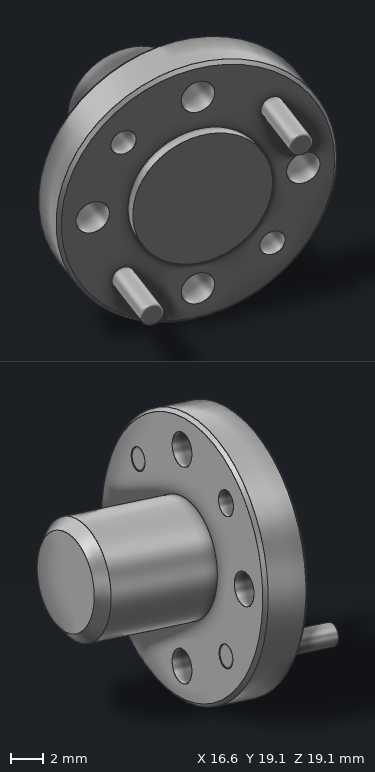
import cadquery as cq
import math

FLANGE_DIAMETER = 19.05
FLANGE_THICKNESS = 3.3
FLANGE_CHAMFER = 0.25

SHAFT_DIAMETER = 8.12
SHAFT_LENGTH = 8.65
SHAFT_CHAMFER = 0.76

PILOT_DIAMETER = 9.49
PILOT_HEIGHT = 0.75

PITCH_RADIUS = 7.15
MOUNTING_HOLE_DIAMETER = 2.27
MOUNTING_HOLE_ANGLES = (0, 90, 180, 270)
CLEARANCE_HOLE_DIAMETER = 1.71
CLEARANCE_HOLE_ANGLES = (135, 315)

PIN_DIAMETER = 1.58
PIN_PROTRUSION = 4.63
PIN_LENGTH = FLANGE_THICKNESS + PIN_PROTRUSION
PIN_END_FILLET = 0.15
PIN_ANGLES = (45, 225)


def pitch_point(angle):
    """Point (Y, Z) on the pitch circle, with the angle measured from +Y towards +Z."""
    return (
        PITCH_RADIUS * math.cos(math.radians(angle)),
        PITCH_RADIUS * math.sin(math.radians(angle)),
    )


def cylinder(diameter, start_x, length):
    """Cylinder on the X axis, running towards +X from start_x."""
    return cq.Workplane("YZ", origin=(start_x, 0, 0)).circle(diameter / 2).extrude(length)


def cut_flange_holes(body, diameter, angles):
    """Cut straight holes through the flange on the pitch circle."""
    holes = (
        cq.Workplane("YZ")
        .pushPoints([pitch_point(angle) for angle in angles])
        .circle(diameter / 2)
        .extrude(FLANGE_THICKNESS)
    )
    return body.cut(holes)


def make_hub():
    """Flange with a chamfered shaft on one side and a low pilot boss on the other."""
    flange = cylinder(FLANGE_DIAMETER, 0, FLANGE_THICKNESS).edges().chamfer(FLANGE_CHAMFER)
    shaft = cylinder(SHAFT_DIAMETER, -SHAFT_LENGTH, SHAFT_LENGTH).faces("<X").chamfer(SHAFT_CHAMFER)
    pilot = cylinder(PILOT_DIAMETER, FLANGE_THICKNESS, PILOT_HEIGHT)
    body = flange.union(shaft).union(pilot)
    body = cut_flange_holes(body, MOUNTING_HOLE_DIAMETER, MOUNTING_HOLE_ANGLES)
    body = cut_flange_holes(body, CLEARANCE_HOLE_DIAMETER, CLEARANCE_HOLE_ANGLES)
    return cut_flange_holes(body, PIN_DIAMETER, PIN_ANGLES)


def make_pin(angle):
    """Dowel pin with rounded end edges, flush with the shaft-side face of the flange."""
    pin = cylinder(PIN_DIAMETER, 0, PIN_LENGTH).faces("<X or >X").edges().fillet(PIN_END_FILLET)
    y, z = pitch_point(angle)
    return pin.translate((0, y, z))


hub = make_hub()
pins = [make_pin(angle) for angle in PIN_ANGLES]

result = cq.Compound.makeCompound([hub.val(), *[pin.val() for pin in pins]])